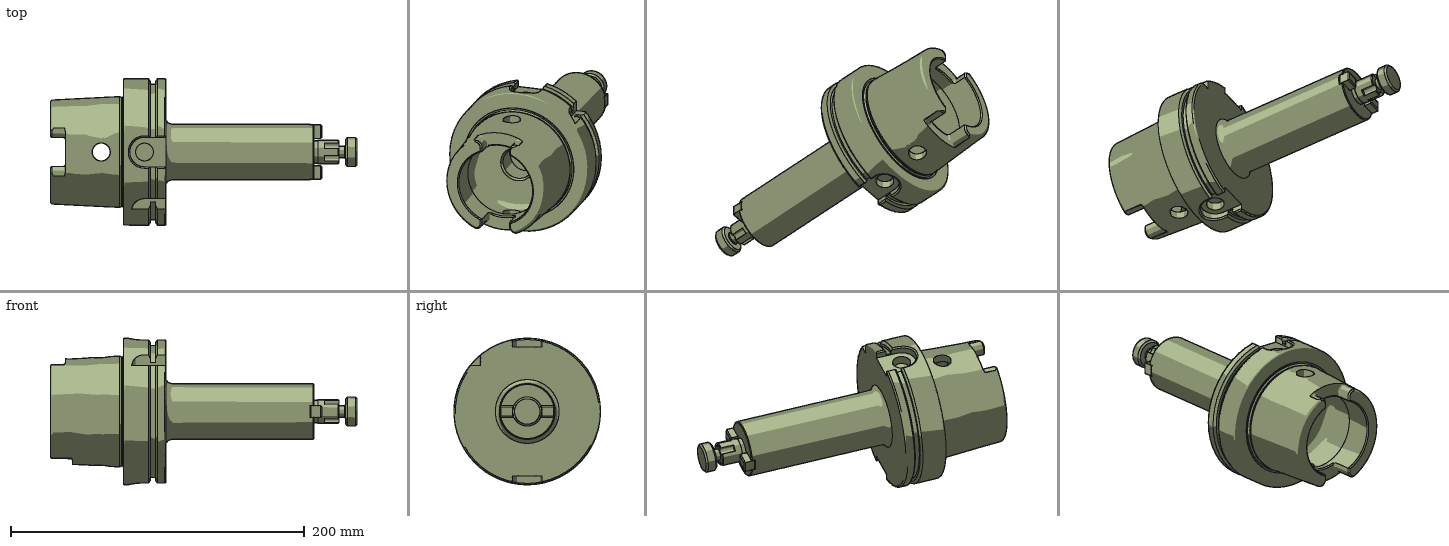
import cadquery as cq
import math


shank_end_x = 47.2
taper_small_radius = 35.5
taper_large_radius = 37.8
rim_rounding = 2.0
relief_start_x = 48.5
relief_end_x = 49.1
relief_radius = 37.2
face_recess_radius = 39.5
face_recess_depth = 0.5

bore_radius = 26.5
cavity_radius = 31.4
cavity_start_x = 19.9
cavity_end_x = 46.6
cavity_floor_fillet = 6.5
bore_mouth_chamfer = 0.8
tube_hole_radius = 10.7
tube_hole_depth = 16.7
tube_hole_chamfer = 1.3

notch_half_width = 9.8
notch_edge_rounding = 4.4
notch_corner_fillet = 1.5
notch_rim_chamfer = 1.0
upper_notch_depth = 10.2
lower_notch_depth = 15.0

clamp_hole_x = 34.7
clamp_hole_radius = 6.0

flange_radius = 50.0
flange_start_x = 49.7
flange_end_x = 78.8
flange_rounding = 1.0
groove_radius = 46.2
groove_flank_radius = 48.0
groove_start_x = 66.9
groove_floor_start_x = 68.1
groove_floor_end_x = 71.7
groove_end_x = 73.0

key_slot_half_width = 10.0
key_slot_center_x = 64.2
key_slot_floor_z = 43.9
key_slot_chamfer = 1.0
chip_hole_radius = 6.0
chip_hole_depth = 6.3

side_notch_y = -31.8
side_notch_z = 31.4
side_notch_cutter_radius = 9.0

shaft_radius = 19.0
shaft_end_x = 179.5
shaft_end_chamfer = 0.6
root_rise = 2.7
root_length = 4.5

pilot_radius = 8.05
pilot_end_x = 196.7
pilot_end_chamfer = 0.6
pilot_neck_radius = 7.7
pilot_neck_end_x = 182.2

coolant_slot_angle = 56.0
coolant_slot_width = 4.4
coolant_slot_center_radius = 7.5
coolant_slot_start_x = 186.8

key_start_x = 176.8
key_end_x = 185.0
key_width = 8.0
key_inner_y = 9.2
key_outer_y = 18.5
key_chamfer = 0.8

screw_shank_radius = 4.0
screw_tip_x = 171.4
screw_head_start_x = 201.0
screw_end_x = 209.0
screw_head_radius = 9.93
screw_head_chamfer = 1.3
screw_neck_rounding = 0.6
pilot_hole_radius = 3.3


def cylinder_x(start_x, end_x, radius):
    """Cylinder about the X axis."""
    return cq.Workplane("YZ", origin=(start_x, 0, 0)).circle(radius).extrude(end_x - start_x)


def cone_x(start_x, length, start_radius, end_radius):
    """Truncated cone about the X axis."""
    profile = [
        (start_x, 0),
        (start_x, start_radius),
        (start_x + length, end_radius),
        (start_x + length, 0),
    ]
    return cq.Workplane("XY").polyline(profile).close().revolve(360, (0, 0), (1, 0))


def make_turned_blank():
    """Outside of the holder from shank to pilot, turned about X."""
    arc_share = math.sqrt(0.5)
    rim_mid_inset = rim_rounding * (1 - arc_share)
    flange_mid_inset = flange_rounding * (1 - arc_share)
    recess_x = flange_start_x + face_recess_depth
    root_arc_radius = (root_rise**2 + root_length**2) / (2 * root_rise)
    return (
        cq.Workplane("XY")
        .moveTo(0, 0)
        .lineTo(0, taper_small_radius - rim_rounding)
        .threePointArc(
            (rim_mid_inset, taper_small_radius - rim_mid_inset),
            (rim_rounding, taper_small_radius),
        )
        .lineTo(shank_end_x, taper_large_radius)
        .lineTo(relief_start_x, relief_radius)
        .lineTo(relief_end_x, relief_radius)
        .lineTo(recess_x, relief_radius + recess_x - relief_end_x)
        .lineTo(recess_x, face_recess_radius)
        .lineTo(flange_start_x, face_recess_radius)
        .lineTo(flange_start_x, flange_radius - flange_rounding)
        .threePointArc(
            (flange_start_x + flange_mid_inset, flange_radius - flange_mid_inset),
            (flange_start_x + flange_rounding, flange_radius),
        )
        .lineTo(groove_start_x, flange_radius)
        .lineTo(groove_floor_start_x, groove_flank_radius)
        .lineTo(groove_floor_start_x, groove_radius)
        .lineTo(groove_floor_end_x, groove_radius)
        .lineTo(groove_floor_end_x, groove_flank_radius)
        .lineTo(groove_end_x, flange_radius)
        .lineTo(flange_end_x - flange_rounding, flange_radius)
        .threePointArc(
            (flange_end_x - flange_mid_inset, flange_radius - flange_mid_inset),
            (flange_end_x, flange_radius - flange_rounding),
        )
        .lineTo(flange_end_x, shaft_radius + root_rise)
        .radiusArc((flange_end_x + root_length, shaft_radius), -root_arc_radius)
        .lineTo(shaft_end_x - shaft_end_chamfer, shaft_radius)
        .lineTo(shaft_end_x, shaft_radius - shaft_end_chamfer)
        .lineTo(shaft_end_x, pilot_neck_radius)
        .lineTo(pilot_neck_end_x, pilot_neck_radius)
        .lineTo(pilot_neck_end_x, pilot_radius)
        .lineTo(pilot_end_x - pilot_end_chamfer, pilot_radius)
        .lineTo(pilot_end_x, pilot_radius - pilot_end_chamfer)
        .lineTo(pilot_end_x, 0)
        .close()
        .revolve(360, (0, 0), (1, 0))
    )


def make_bore_mouth(start_x):
    """Chamfer where the shank bore opens at the given X."""
    return cone_x(start_x, bore_mouth_chamfer, bore_radius + bore_mouth_chamfer, bore_radius)


def make_bore():
    """Stepped bore: shank cavity, coolant tube hole, core hole and screw hole."""
    entry = cylinder_x(0, cavity_start_x, bore_radius)
    cavity = cylinder_x(cavity_start_x, cavity_end_x, cavity_radius)
    cavity = cavity.faces(">X").edges().fillet(cavity_floor_fillet)
    mouth = make_bore_mouth(0)
    tube_hole_end = cavity_end_x + tube_hole_depth
    tube_hole = cylinder_x(cavity_end_x, tube_hole_end, tube_hole_radius)
    tube_mouth = cone_x(
        cavity_end_x, tube_hole_chamfer, tube_hole_radius + tube_hole_chamfer, tube_hole_radius
    )
    core_hole = cylinder_x(tube_hole_end, screw_tip_x, pilot_hole_radius)
    screw_hole = cylinder_x(screw_tip_x, pilot_end_x, screw_shank_radius)
    bore = entry
    for section in (mouth, cavity, tube_hole, tube_mouth, core_hole, screw_hole):
        bore = bore.union(section)
    return bore


def make_shank_notch(side, depth):
    """Drive notch in the shank rim on the +Z (side = 1) or -Z (side = -1) side.

    The walls flare outward in an arc that rounds the outer edges of the shank wall.
    """
    rounding_center_y = notch_half_width + notch_edge_rounding
    rounding_center_radius = taper_small_radius - notch_edge_rounding
    rounding_center_z = math.sqrt(rounding_center_radius**2 - rounding_center_y**2)
    outward = (rounding_center_y / rounding_center_radius, rounding_center_z / rounding_center_radius)
    flare_end = (outward[0] * taper_small_radius, outward[1] * taper_small_radius)
    half_turn = (math.atan2(outward[1], outward[0]) + math.pi) / 2
    flare_mid = (
        rounding_center_y + notch_edge_rounding * math.cos(half_turn),
        rounding_center_z + notch_edge_rounding * math.sin(half_turn),
    )
    top_z = flange_radius
    outline = (
        cq.Workplane("YZ")
        .moveTo(-notch_half_width, 0)
        .lineTo(notch_half_width, 0)
        .lineTo(notch_half_width, rounding_center_z)
        .threePointArc(flare_mid, flare_end)
        .lineTo(flare_end[0], top_z)
        .lineTo(-flare_end[0], top_z)
        .lineTo(-flare_end[0], flare_end[1])
        .threePointArc((-flare_mid[0], flare_mid[1]), (-notch_half_width, rounding_center_z))
        .close()
    )
    corner_edges = cq.selectors.BoxSelector(
        (depth - 0.2, -notch_half_width - 0.2, 0.2),
        (depth + 0.2, notch_half_width + 0.2, rounding_center_z),
    )
    rim_outline = cq.Workplane("YZ").add(outline.val()).toPending().offset2D(notch_rim_chamfer)
    rim_chamfer = rim_outline.extrude(notch_rim_chamfer, taper=45)
    notch = outline.extrude(depth).edges(corner_edges).fillet(notch_corner_fillet)
    above_axis = cq.Workplane("XY").box(
        2 * flange_radius,
        2 * notch_half_width - 2 * notch_corner_fillet,
        flange_radius,
        centered=(True, True, False),
    )
    bore_chamfer = make_bore_mouth(depth).intersect(above_axis)
    cutter = notch.union(rim_chamfer).union(bore_chamfer)
    if side < 0:
        cutter = cutter.rotate((0, 0, 0), (1, 0, 0), 180)
    return cutter


def make_key_slot():
    """Cutter for a round-ended slot on the +Z side of the flange.

    It includes the chamfer along the slot rim, found on a plain flange disc, and
    the chip pocket in the slot floor.
    """
    slot_length = flange_end_x - key_slot_center_x
    floor = cq.Workplane("XY", origin=(key_slot_center_x, 0, key_slot_floor_z))
    plain_slot = (
        floor.moveTo(slot_length, -key_slot_half_width)
        .lineTo(0, -key_slot_half_width)
        .threePointArc((-key_slot_half_width, 0), (0, key_slot_half_width))
        .lineTo(slot_length, key_slot_half_width)
        .close()
        .extrude(flange_radius - key_slot_floor_z)
    )
    disc = cylinder_x(flange_start_x, flange_end_x, flange_radius)
    rim_edges = cq.selectors.BoxSelector(
        (flange_start_x + 0.2, -flange_radius / 2, key_slot_floor_z + 0.2),
        (flange_end_x - 0.2, flange_radius / 2, flange_radius),
    )
    slotted_disc = disc.cut(plain_slot).edges(rim_edges).chamfer(key_slot_chamfer)
    pocket = floor.circle(chip_hole_radius).extrude(-chip_hole_depth)
    return disc.cut(slotted_disc).union(pocket)


def make_side_notch():
    """Corner notch in the flange rim, with an end wall swept by a round cutter along Z."""
    far_y = -flange_radius - side_notch_cutter_radius
    height = flange_radius - side_notch_z
    cutter_y = side_notch_y - side_notch_cutter_radius
    return (
        cq.Workplane("XY", origin=(0, 0, side_notch_z))
        .moveTo(flange_end_x, side_notch_y)
        .lineTo(key_slot_center_x, side_notch_y)
        .threePointArc(
            (
                key_slot_center_x - side_notch_cutter_radius * math.sqrt(0.5),
                cutter_y + side_notch_cutter_radius * math.sqrt(0.5),
            ),
            (key_slot_center_x - side_notch_cutter_radius, cutter_y),
        )
        .lineTo(key_slot_center_x - side_notch_cutter_radius, far_y)
        .lineTo(flange_end_x, far_y)
        .close()
        .extrude(height)
    )


def make_coolant_slot(angle):
    """Round-bottomed slot along the pilot that runs out at its free end."""
    slot_length = pilot_end_x - coolant_slot_start_x
    channel = (
        cq.Workplane("YZ", origin=(coolant_slot_start_x, coolant_slot_center_radius, 0))
        .circle(coolant_slot_width / 2)
        .extrude(slot_length)
    )
    opening = cq.Workplane("XY").box(
        slot_length, pilot_radius, coolant_slot_width, centered=(False, False, True)
    )
    opening = opening.translate((coolant_slot_start_x, coolant_slot_center_radius, 0))
    return channel.union(opening).rotate((0, 0, 0), (1, 0, 0), angle)


def make_key_recess(side):
    """Recess in the shaft end that holds one drive key and opens outward."""
    recess = cq.Workplane("XY").box(
        shaft_end_x - key_start_x,
        shaft_radius - key_inner_y,
        key_width,
        centered=(False, False, True),
    )
    recess = recess.translate((key_start_x, key_inner_y, 0))
    return recess if side > 0 else recess.rotate((0, 0, 0), (1, 0, 0), 180)


def make_holder():
    """Arbor body with all its holes, slots and notches."""
    holder = make_turned_blank().cut(make_bore())
    holder = holder.cut(make_shank_notch(1, upper_notch_depth))
    holder = holder.cut(make_shank_notch(-1, lower_notch_depth))
    clamp_hole = (
        cq.Workplane("XY", origin=(clamp_hole_x, 0, 0))
        .circle(clamp_hole_radius)
        .extrude(flange_radius, both=True)
    )
    holder = holder.cut(clamp_hole)
    for turn in (0, 180):
        holder = holder.cut(make_key_slot().rotate((0, 0, 0), (1, 0, 0), turn))
    holder = holder.cut(make_side_notch())
    for angle in (
        coolant_slot_angle,
        180 - coolant_slot_angle,
        180 + coolant_slot_angle,
        -coolant_slot_angle,
    ):
        holder = holder.cut(make_coolant_slot(angle))
    for side in (1, -1):
        holder = holder.cut(make_key_recess(side))
    return holder


def make_drive_key(side):
    """Block in the shaft end on the +Y (side = 1) or -Y (side = -1) side."""
    key = (
        cq.Workplane("XY")
        .box(
            key_end_x - key_start_x,
            key_outer_y - key_inner_y,
            key_width,
            centered=(False, False, True),
        )
        .faces("<X or >X")
        .edges()
        .chamfer(key_chamfer)
        .translate((key_start_x, key_inner_y, 0))
    )
    return key if side > 0 else key.rotate((0, 0, 0), (1, 0, 0), 180)


def make_clamping_screw():
    """Screw in the pilot end, with a chamfered head and a short conical neck."""
    shank = cylinder_x(screw_tip_x, screw_head_start_x, screw_shank_radius)
    head = cylinder_x(screw_head_start_x, screw_end_x, screw_head_radius)
    head = head.edges().chamfer(screw_head_chamfer)
    neck = cone_x(
        screw_head_start_x - screw_neck_rounding,
        screw_neck_rounding,
        screw_shank_radius,
        screw_shank_radius + screw_neck_rounding,
    )
    return shank.union(neck).union(head)


holder = make_holder()
drive_keys = [make_drive_key(side) for side in (1, -1)]
clamping_screw = make_clamping_screw()

result = cq.Compound.makeCompound(
    [holder.val(), *[key.val() for key in drive_keys], clamping_screw.val()]
)